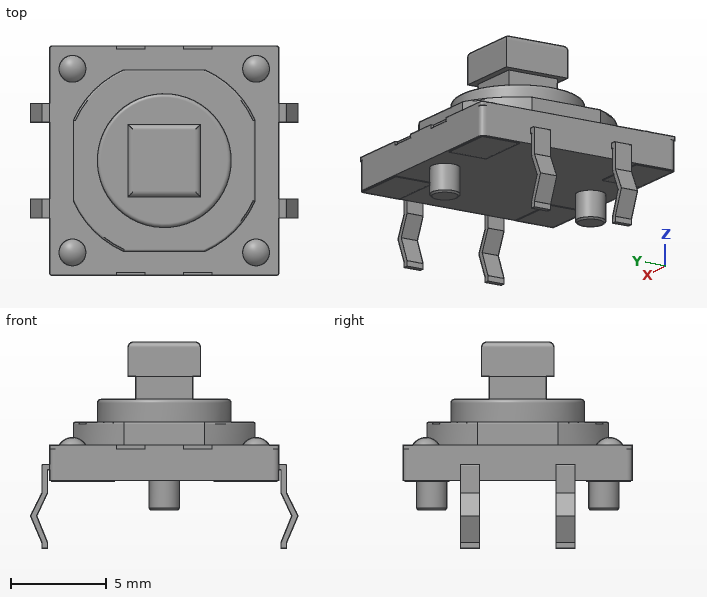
import cadquery as cq
import math

HOUSING_SIDE = 12.0
STANDOFF_HEIGHT = 0.05
COVER_BOTTOM_Z = 1.7
COVER_TOP_Z = 1.9
BODY_CORNER_RADIUS = 0.3
COVER_CORNER_RADIUS = 0.15

NOTCH_WIDTH = 1.5
NOTCH_DEPTH = 0.15
NOTCH_CENTER_X = 1.75

PAD_OUTER = 5.9
PAD_INNER_X = 2.6
PAD_INNER_Y = 3.6

DOME_RADIUS = 0.7
DOME_HEIGHT = 0.4
DOME_OFFSET = 4.8

BOSS_RADIUS = 5.2
BOSS_ACROSS_FLATS = 9.5
BOSS_HEIGHT = 1.2
BOSS_EDGE_RADIUS = 0.1

COLLAR_RADIUS = 3.5
COLLAR_HEIGHT = 1.2
COLLAR_EDGE_RADIUS = 0.2
STEM_SIDE = 3.0
STEM_HEIGHT = 1.2
CAP_SIDE = 3.8
CAP_HEIGHT = 1.8
CAP_EDGE_RADIUS = 0.3

PEG_RADIUS = 0.8
PEG_LENGTH = 1.5
PEG_OFFSET_Y = 4.5
PEG_CHAMFER = 0.1

LEG_SPAN = 14.0
LEG_THICKNESS = 0.3
LEG_WIDTH = 1.0
LEG_OFFSET_Y = 2.5
LEG_FACE_X = 6.4
LEG_TOP_Z = 0.9
LEG_UPPER_BEND_Z = -0.6
LEG_KINK_Z = -1.8
LEG_LOWER_BEND_Z = -3.2
LEG_BOTTOM_Z = -3.5
LEG_EDGE_RADIUS = 0.1
LEG_EMBED = 0.5

BOSS_TOP_Z = COVER_TOP_Z + BOSS_HEIGHT
COLLAR_TOP_Z = BOSS_TOP_Z + COLLAR_HEIGHT
STEM_TOP_Z = COLLAR_TOP_Z + STEM_HEIGHT


def square_block(side, bottom_z, top_z):
    """Square prism centred on the Z axis."""
    return cq.Workplane("XY").workplane(offset=bottom_z).rect(side, side).extrude(top_z - bottom_z)


def corner_points(x, y):
    """The four points (+-x, +-y)."""
    return [(sx * x, sy * y) for sx in (-1, 1) for sy in (-1, 1)]


def make_body():
    body = square_block(HOUSING_SIDE, STANDOFF_HEIGHT, COVER_BOTTOM_Z)
    return body.edges("|Z").fillet(BODY_CORNER_RADIUS)


def make_cover():
    cover = square_block(HOUSING_SIDE, COVER_BOTTOM_Z, COVER_TOP_Z)
    cover = cover.edges("|Z").fillet(COVER_CORNER_RADIUS)
    notches = (
        cq.Workplane("XY")
        .workplane(offset=COVER_BOTTOM_Z)
        .pushPoints(corner_points(NOTCH_CENTER_X, HOUSING_SIDE / 2))
        .rect(NOTCH_WIDTH, 2 * NOTCH_DEPTH)
        .extrude(COVER_TOP_Z - COVER_BOTTOM_Z)
    )
    return cover.cut(notches)


def make_pads():
    """Pads run from the seating plane up to the underside of the body."""
    return (
        cq.Workplane("XY")
        .pushPoints(corner_points((PAD_OUTER + PAD_INNER_X) / 2, (PAD_OUTER + PAD_INNER_Y) / 2))
        .rect(PAD_OUTER - PAD_INNER_X, PAD_OUTER - PAD_INNER_Y)
        .extrude(STANDOFF_HEIGHT)
    )


def make_domes():
    """Spherical caps standing on the cover plate."""
    sphere_radius = (DOME_RADIUS**2 + DOME_HEIGHT**2) / (2 * DOME_HEIGHT)
    sphere_center_z = COVER_TOP_Z + DOME_HEIGHT - sphere_radius
    spheres = (
        cq.Workplane("XY")
        .workplane(offset=sphere_center_z)
        .pushPoints(corner_points(DOME_OFFSET, DOME_OFFSET))
        .sphere(sphere_radius)
    )
    return spheres.intersect(square_block(HOUSING_SIDE, COVER_TOP_Z, COVER_TOP_Z + DOME_HEIGHT))


def make_boss():
    disc = cq.Workplane("XY").workplane(offset=COVER_TOP_Z).circle(BOSS_RADIUS).extrude(BOSS_HEIGHT)
    boss = disc.intersect(square_block(BOSS_ACROSS_FLATS, COVER_TOP_Z, BOSS_TOP_Z))
    return boss.faces(">Z").edges().fillet(BOSS_EDGE_RADIUS)


def make_plunger():
    collar = cq.Workplane("XY").workplane(offset=BOSS_TOP_Z).circle(COLLAR_RADIUS).extrude(COLLAR_HEIGHT)
    collar = collar.faces(">Z").edges().fillet(COLLAR_EDGE_RADIUS)
    stem = square_block(STEM_SIDE, COLLAR_TOP_Z, STEM_TOP_Z)
    cap = square_block(CAP_SIDE, STEM_TOP_Z, STEM_TOP_Z + CAP_HEIGHT)
    cap = cap.faces(">Z").edges().fillet(CAP_EDGE_RADIUS)
    return collar.union(stem).union(cap)


def make_pegs():
    pegs = (
        cq.Workplane("XY")
        .workplane(offset=STANDOFF_HEIGHT)
        .pushPoints([(0, -PEG_OFFSET_Y), (0, PEG_OFFSET_Y)])
        .circle(PEG_RADIUS)
        .extrude(-PEG_LENGTH - STANDOFF_HEIGHT)
    )
    return pegs.faces("<Z").edges().chamfer(PEG_CHAMFER)


def make_leg(center_y):
    """Terminal on the +X side: a tab out of the body, bent down and kinked outwards."""
    kink_x = LEG_SPAN / 2
    inner_x = LEG_FACE_X - LEG_THICKNESS
    arm_angle = math.atan2(kink_x - LEG_FACE_X, LEG_UPPER_BEND_Z - LEG_KINK_Z)
    inner_kink_x = kink_x - LEG_THICKNESS / math.cos(arm_angle)
    embed_x = HOUSING_SIDE / 2 - LEG_EMBED
    profile = [
        (embed_x, LEG_TOP_Z),
        (LEG_FACE_X, LEG_TOP_Z),
        (LEG_FACE_X, LEG_UPPER_BEND_Z),
        (kink_x, LEG_KINK_Z),
        (LEG_FACE_X, LEG_LOWER_BEND_Z),
        (LEG_FACE_X, LEG_BOTTOM_Z),
        (inner_x, LEG_BOTTOM_Z),
        (inner_x, LEG_LOWER_BEND_Z),
        (inner_kink_x, LEG_KINK_Z),
        (inner_x, LEG_UPPER_BEND_Z),
        (inner_x, LEG_TOP_Z - LEG_THICKNESS),
        (embed_x, LEG_TOP_Z - LEG_THICKNESS),
    ]
    leg = cq.Workplane("XZ").polyline(profile).close().extrude(LEG_WIDTH / 2, both=True)
    outer_bend = cq.selectors.NearestToPointSelector((LEG_FACE_X, 0, LEG_TOP_Z))
    leg = leg.edges("|Y").edges(outer_bend).fillet(LEG_EDGE_RADIUS)
    return leg.translate((0, center_y, 0))


result = make_body()
for feature in (make_cover(), make_pads(), make_domes(), make_boss(), make_plunger(), make_pegs()):
    result = result.union(feature)
for leg_y in (-LEG_OFFSET_Y, LEG_OFFSET_Y):
    right_leg = make_leg(leg_y)
    result = result.union(right_leg).union(right_leg.mirror("YZ"))